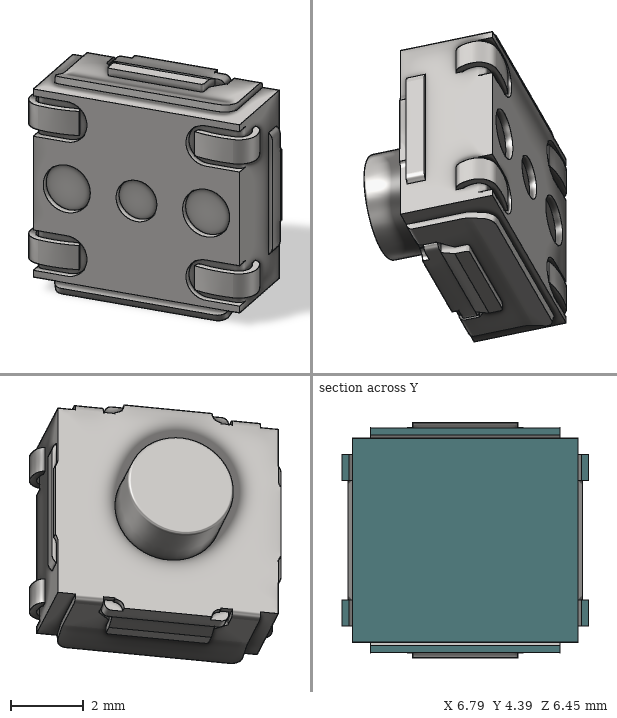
import cadquery as cq
import math


body_width = 6.19
body_height = 5.6
body_depth = 2.67
half_width = body_width / 2
half_height = body_height / 2

sheet = 0.2

pocket_depth = 0.205

button_radius = 1.495
button_tip_radius = 1.48
button_length = 1.64
button_round = 0.095

pocket_spacing = 2.09
outer_pocket_radius = 0.705
center_pocket_radius = 0.61

leg_height = 1.995
leg_width = 0.72
leg_reach = 3.395
leg_tip = 1.73
leg_drop = 0.08
leg_side_y = 0.475
leg_corner_radius = 0.535
leg_sole_radius = 3.125
leg_side_radius = 1.0
leg_side_top = 0.86
leg_root_radius = 0.34
leg_root_x = 2.715
recess_width = 1.2
recess_tip = 1.49

plate_half_width = 2.6
plate_face = half_height + sheet
plate_bend_y = 1.065
plate_bend_radius = 1.0
lip_angle = math.radians(16.5)
lip_corner_radius = 0.3
overall_half_height = 3.225

notch_half_width = 1.81
notch_shoulder_y = 2.08
notch_end_y = 1.665
notch_floor = half_height

tongue_half_width = 1.44
tongue_tip_y = 1.255
tongue_ramp_y = 1.665
tongue_corner_radius = 0.08

neck_front = body_depth - sheet
tab_front = 2.065
tab_face = 3.09
tab_half_width = 1.745
tab_flat_half = 1.54
neck_half_width = 1.49
neck_flat_half = 1.235
tab_base = tab_face - (tab_half_width - tab_flat_half)
neck_base = tab_face - (neck_half_width - neck_flat_half)
side_tab_front = 1.94
side_tab_face = 3.22
side_tab_half_width = 1.81
side_tab_flat_half = 1.57
side_neck_face = 3.17
side_neck_half_width = 1.24
side_neck_flat_half = 1.045

overlap = 0.135


def on_circle(center, radius, angle):
    """Point of a circle at the given angle in radians."""
    return center[0] + radius * math.cos(angle), center[1] + radius * math.sin(angle)


def make_button():
    button = (
        cq.Workplane("XY")
        .moveTo(0, body_depth - overlap)
        .lineTo(button_radius, body_depth - overlap)
        .lineTo(button_radius, body_depth)
        .lineTo(button_tip_radius, body_depth + button_length)
        .lineTo(0, body_depth + button_length)
        .close()
        .revolve(360, (0, 0), (0, 1))
    )
    return button.faces(">Y").edges().fillet(button_round)


def pocket(x, radius):
    """Round pocket in the solder face."""
    return cq.Workplane("XZ", origin=(x, 0, 0)).circle(radius).extrude(-pocket_depth)


def leg_recess():
    """Round-ended pocket whose floor rolls over into the side of the housing."""
    radius = recess_width / 2
    arc_x = recess_tip + radius
    outside = half_width + overlap
    roll_x = half_width - pocket_depth
    roll_end_y = 2 * pocket_depth
    slot = (
        cq.Workplane("XZ")
        .moveTo(outside, radius)
        .lineTo(arc_x, radius)
        .threePointArc((recess_tip, 0), (arc_x, -radius))
        .lineTo(outside, -radius)
        .close()
        .extrude(-pocket_depth)
    )
    rolled_edge = (
        cq.Workplane("XY", origin=(0, 0, -radius))
        .moveTo(roll_x, 0)
        .lineTo(roll_x, pocket_depth)
        .threePointArc(
            on_circle((roll_x, roll_end_y), pocket_depth, -math.pi / 4), (half_width, roll_end_y)
        )
        .lineTo(outside, roll_end_y)
        .lineTo(outside, 0)
        .close()
        .extrude(recess_width)
    )
    return slot.union(rolled_edge)


def leg():
    """Curled strip: four tangent arcs from its root in the housing to its tip."""
    corner = (leg_reach - leg_corner_radius, leg_side_y)
    sole_y = leg_sole_radius - leg_drop
    center_gap = leg_sole_radius - leg_corner_radius
    sole_angle = -math.asin((sole_y - leg_side_y) / center_gap)
    sole = on_circle(corner, -center_gap, sole_angle)
    tip_angle = -math.pi / 2 - math.asin((sole[0] - leg_tip) / leg_sole_radius)
    side = (leg_reach - leg_side_radius, leg_side_y)
    root_angle = math.asin((leg_side_top - leg_side_y) / leg_side_radius)
    root = on_circle(side, leg_side_radius - leg_root_radius, root_angle)
    arcs = [
        (root, leg_root_radius, math.pi / 2, root_angle),
        (side, leg_side_radius, root_angle, 0),
        (corner, leg_corner_radius, 0, sole_angle),
        (sole, leg_sole_radius, sole_angle, tip_angle),
    ]

    outline = cq.Workplane("XY", origin=(0, 0, -leg_width / 2))
    outline = outline.moveTo(leg_root_x, root[1] + leg_root_radius)
    outline = outline.lineTo(*on_circle(root, leg_root_radius, math.pi / 2))
    for center, radius, start, end in arcs:
        outline = outline.threePointArc(
            on_circle(center, radius, (start + end) / 2), on_circle(center, radius, end)
        )
    outline = outline.lineTo(*on_circle(sole, leg_sole_radius - sheet, tip_angle))
    for center, radius, start, end in reversed(arcs):
        inner = radius - sheet
        outline = outline.threePointArc(
            on_circle(center, inner, (start + end) / 2), on_circle(center, inner, start)
        )
    outline = outline.lineTo(leg_root_x, root[1] + leg_root_radius - sheet)
    return outline.close().extrude(leg_width)


def spring_plate():
    """Plate lying on the housing, rounded at the back, its front lip bent outward."""
    bend = (plate_bend_y, plate_face + plate_bend_radius)
    bend_start = -math.pi / 2
    bend_middle = bend_start - lip_angle / 2
    bend_end = bend_start - lip_angle
    outer_bend = on_circle(bend, plate_bend_radius, bend_end)
    lip_length = (overall_half_height - outer_bend[1]) / math.sin(lip_angle)
    lip_outer = on_circle(outer_bend, lip_length, math.pi - lip_angle)
    lip_inner = on_circle(lip_outer, sheet, bend_end)
    inner_bend_y = lip_inner[0] + (lip_inner[1] - half_height) / math.tan(lip_angle)

    plate = (
        cq.Workplane("YZ", origin=(-plate_half_width, 0, 0))
        .moveTo(body_depth, half_height)
        .threePointArc(on_circle((neck_front, half_height), sheet, math.pi / 4), (neck_front, plate_face))
        .lineTo(plate_bend_y, plate_face)
        .threePointArc(on_circle(bend, plate_bend_radius, bend_middle), outer_bend)
        .lineTo(*lip_outer)
        .lineTo(*lip_inner)
        .lineTo(inner_bend_y, half_height)
        .close()
        .extrude(2 * plate_half_width)
    )
    across_lip = cq.Vector(0, math.sin(lip_angle), math.cos(lip_angle))
    plate = plate.edges(cq.selectors.ParallelDirSelector(across_lip)).fillet(lip_corner_radius)
    return plate.cut(notch())


def notch():
    return (
        cq.Workplane("XY", origin=(0, 0, notch_floor))
        .moveTo(-notch_half_width, body_depth)
        .lineTo(-notch_half_width, notch_shoulder_y)
        .lineTo(-tongue_half_width, notch_end_y)
        .lineTo(tongue_half_width, notch_end_y)
        .lineTo(notch_half_width, notch_shoulder_y)
        .lineTo(notch_half_width, body_depth)
        .close()
        .extrude(overall_half_height - notch_floor)
    )


def latch_tongue():
    """Tongue that ramps up from the tab and ends with rounded corners."""
    tongue = (
        cq.Workplane("YZ", origin=(-tongue_half_width, 0, 0))
        .moveTo(tab_front, notch_floor)
        .lineTo(tab_front, tab_face)
        .lineTo(tongue_ramp_y, overall_half_height)
        .lineTo(tongue_tip_y, overall_half_height)
        .lineTo(tongue_tip_y, notch_floor)
        .close()
        .extrude(2 * tongue_half_width)
    )
    return tongue.faces("<Y").edges("|Z").fillet(tongue_corner_radius)


def end_curve_middle(run, rise):
    """Middle of an arc that starts level and bends away by the given run and rise."""
    radius = (run**2 + rise**2) / (2 * rise)
    half_turn = math.atan2(rise, run)
    return radius * math.sin(half_turn), radius * (1 - math.cos(half_turn))


def tab(front, base, face, half_width_base, half_flat):
    """Raised tab with both ends curving down convexly to the base."""
    along, down = end_curve_middle(half_width_base - half_flat, face - base)
    return (
        cq.Workplane("XZ", origin=(0, neck_front, 0))
        .moveTo(-half_width_base, base - overlap)
        .lineTo(-half_width_base, base)
        .threePointArc((-half_flat - along, face - down), (-half_flat, face))
        .lineTo(half_flat, face)
        .threePointArc((half_flat + along, face - down), (half_width_base, base))
        .lineTo(half_width_base, base - overlap)
        .close()
        .extrude(neck_front - front)
    )


def neck(base, face, half_width_base, half_flat):
    """Raised strip behind a tab with both ends flaring concavely to the base."""
    along, up = end_curve_middle(half_width_base - half_flat, face - base)
    return (
        cq.Workplane("XZ", origin=(0, body_depth, 0))
        .moveTo(-half_width_base, base - overlap)
        .lineTo(-half_width_base, base)
        .threePointArc((-half_width_base + along, base + up), (-half_flat, face))
        .lineTo(half_flat, face)
        .threePointArc((half_width_base - along, base + up), (half_width_base, base))
        .lineTo(half_width_base, base - overlap)
        .close()
        .extrude(sheet)
    )


def about_y(shape, angle):
    return shape.rotate((0, 0, 0), (0, 1, 0), angle)


result = cq.Workplane("XY").box(body_width, body_depth, body_height, centered=(True, False, True))
result = result.cut(pocket(0, center_pocket_radius))
for pocket_x in (-pocket_spacing, pocket_spacing):
    result = result.cut(pocket(pocket_x, outer_pocket_radius))

for z in (-leg_height, leg_height):
    for turn in (0, 180):
        result = result.cut(about_y(leg_recess(), turn).translate((0, 0, z)))
        result = result.union(about_y(leg(), turn).translate((0, 0, z)))

latch = (
    spring_plate()
    .union(latch_tongue())
    .union(tab(tab_front, tab_base, tab_face, tab_half_width, tab_flat_half))
    .union(neck(neck_base, tab_face, neck_half_width, neck_flat_half))
)
for turn in (0, 180):
    result = result.union(about_y(latch, turn))

side_tab = tab(side_tab_front, half_width, side_tab_face, side_tab_half_width, side_tab_flat_half)
side_tab = side_tab.union(
    neck(half_width, side_neck_face, side_neck_half_width, side_neck_flat_half)
)
for turn in (90, 270):
    result = result.union(about_y(side_tab, turn))

result = result.union(make_button())